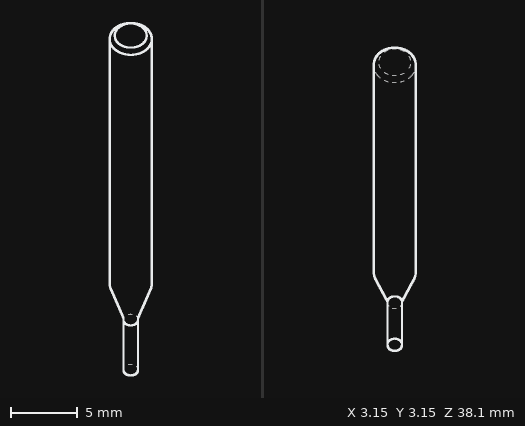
import cadquery as cq

total_length = 38.1
shank_diameter = 3.15
tip_diameter = 1.1
tip_length = 5.7
neck_length = 0.3
taper_length = 3.77
top_chamfer = 0.4

shank_radius = shank_diameter / 2
tip_radius = tip_diameter / 2
taper_start = tip_length + neck_length
taper_end = taper_start + taper_length


def make_tip():
    """Plain cylindrical tip, ending flat against the neck of the shank."""
    return cq.Workplane("XY").circle(tip_radius).extrude(tip_length)


def make_shank():
    """Turned shank: short neck, taper, full-diameter cylinder and chamfered top."""
    half_profile = (
        cq.Workplane("XZ")
        .moveTo(0, tip_length)
        .lineTo(tip_radius, tip_length)
        .lineTo(tip_radius, taper_start)
        .lineTo(shank_radius, taper_end)
        .lineTo(shank_radius, total_length - top_chamfer)
        .lineTo(shank_radius - top_chamfer, total_length)
        .lineTo(0, total_length)
        .close()
    )
    return half_profile.revolve(360, (0, 0, 0), (0, 1, 0))


tip = make_tip()
shank = make_shank()

result = cq.Compound.makeCompound([tip.val(), shank.val()])